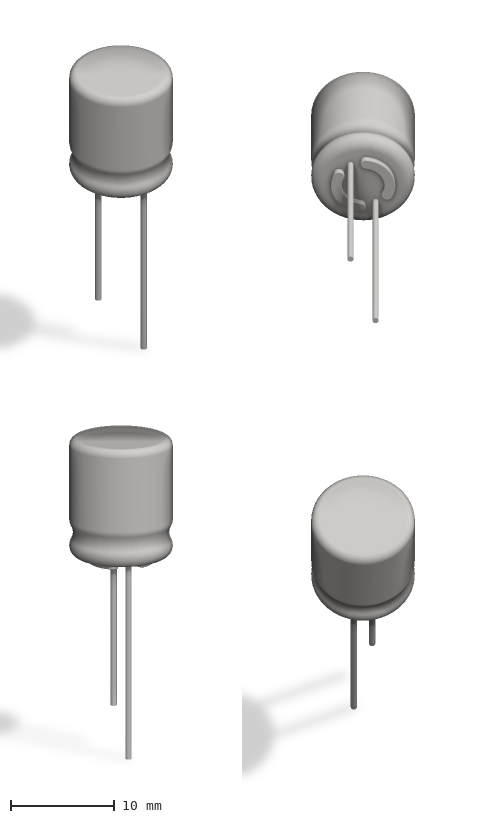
import math

import cadquery as cq

CAN_DIAMETER = 10.0
CAN_HEIGHT = 11.88
TOP_FILLET = 0.75
LIP_RADIUS = 1.1
GROOVE_DEPTH = 0.35
GROOVE_RADIUS = 1.55

FOOT_PATH_RADIUS = 2.58
FOOT_WIDTH = 1.07
FOOT_HEIGHT = 0.57
FOOT_SPAN = 110
FOOT_FILLET = 0.1

LEAD_DIAMETER = 0.6
LEAD_PITCH = 5.0
LONG_LEAD = 19.62
SHORT_LEAD = 15.55

can_radius = CAN_DIAMETER / 2


def arc_point(center, radius, degrees):
    """Point on a circle at the given angle, in the coordinates of its own sketch plane."""
    angle = math.radians(degrees)
    return center[0] + radius * math.cos(angle), center[1] + radius * math.sin(angle)


def make_can_shell():
    """Revolved can; the groove arc is tangent to the lip below and the shoulder above."""
    center_distance = LIP_RADIUS + GROOVE_RADIUS
    radial_step = center_distance - GROOVE_DEPTH
    tilt = math.degrees(math.acos(radial_step / center_distance))
    center_rise = center_distance * math.sin(math.radians(tilt))

    lip_center = (can_radius - LIP_RADIUS, LIP_RADIUS)
    groove_z = LIP_RADIUS + center_rise
    groove_bottom = (can_radius - GROOVE_DEPTH, groove_z)
    shoulder_center = (lip_center[0], groove_z + center_rise)

    profile = (
        cq.Workplane("XZ")
        .lineTo(lip_center[0], 0)
        .threePointArc((can_radius, LIP_RADIUS), arc_point(lip_center, LIP_RADIUS, tilt))
        .threePointArc(groove_bottom, arc_point(shoulder_center, LIP_RADIUS, -tilt))
        .threePointArc(
            arc_point(shoulder_center, LIP_RADIUS, -tilt / 2),
            (can_radius, shoulder_center[1]),
        )
        .lineTo(can_radius, CAN_HEIGHT)
        .lineTo(0, CAN_HEIGHT)
        .close()
    )
    return profile.revolve(360, (0, 0, 0), (0, 1, 0)).faces(">Z").edges().fillet(TOP_FILLET)


def make_foot(middle_angle):
    """Arc-shaped slot outline below the can, centred on the given angle about Z."""
    start = middle_angle - FOOT_SPAN / 2
    end = middle_angle + FOOT_SPAN / 2
    axis = (0, 0)
    end_radius = FOOT_WIDTH / 2
    outer_radius = FOOT_PATH_RADIUS + end_radius
    inner_radius = FOOT_PATH_RADIUS - end_radius
    start_tip = arc_point(arc_point(axis, FOOT_PATH_RADIUS, start), end_radius, start - 90)
    end_tip = arc_point(arc_point(axis, FOOT_PATH_RADIUS, end), end_radius, end + 90)
    foot = (
        cq.Workplane("XY")
        .moveTo(*arc_point(axis, inner_radius, start))
        .threePointArc(start_tip, arc_point(axis, outer_radius, start))
        .threePointArc(
            arc_point(axis, outer_radius, middle_angle),
            arc_point(axis, outer_radius, end),
        )
        .threePointArc(end_tip, arc_point(axis, inner_radius, end))
        .threePointArc(
            arc_point(axis, inner_radius, middle_angle),
            arc_point(axis, inner_radius, start),
        )
        .close()
        .extrude(-FOOT_HEIGHT)
    )
    return foot.faces("<Z").edges().fillet(FOOT_FILLET)


def make_can():
    """Can with its two standoff feet."""
    can = make_can_shell()
    for middle_angle in (90, -90):
        can = can.union(make_foot(middle_angle))
    return can


def make_lead(x, length):
    """Round wire hanging from the can's underside."""
    return cq.Workplane("XY").center(x, 0).circle(LEAD_DIAMETER / 2).extrude(-length)


can = make_can()
lead_places = [(-LEAD_PITCH / 2, SHORT_LEAD), (LEAD_PITCH / 2, LONG_LEAD)]
leads = [make_lead(x, length) for x, length in lead_places]

result = cq.Compound.makeCompound([can.val(), *[lead.val() for lead in leads]])